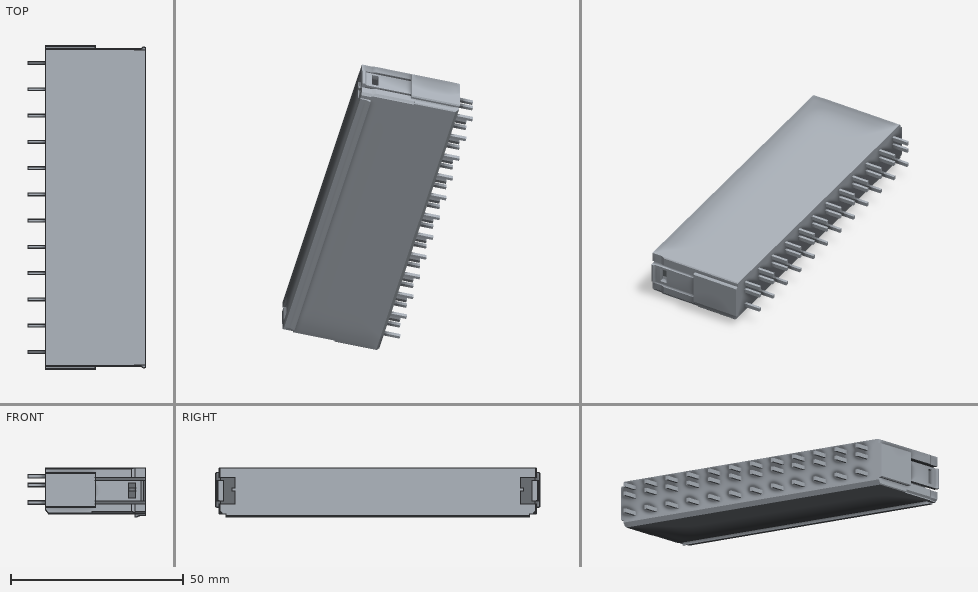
import cadquery as cq

overall_length = 94.2
overall_height = 14.3
body_depth = 29.1
body_height = 13.5
body_half = 46.2
edge_chamfer = 0.3

front_bevel_depth = 1.0
front_bevel_height = 1.3

pin_count = 12
pin_pitch = 7.6
pin_length = 5.1
pin_width = 0.85
pin_height = 1.1
pin_levels = (-2.45, -5.0, -10.1)

pad_depth = 14.5
pad_top = -1.3
pad_bottom = -11.5
pad_bevel_height = 0.3
pad_bevel_width = 0.4

step_start = 25.0
step_end = 26.0
step_depth = 0.4

rebate_start = 13.5
rebate_height = 0.85
rebate_bevel = 0.6

pocket_top = -2.8
pocket_bottom = -10.5
pocket_length_under_pad = 0.5
pocket_reach = 4.7
arm_gap = 0.85
arm_thickness = 1.4
hook_start = 27.8
hook_crest_start = 28.5
hook_crest_end = 28.65
hook_height = 0.5
hook_heel_height = 0.3

window_start = 24.2
window_end = 26.2
window_top = -4.4
window_bottom = -8.8
rib_top = -5.8
rib_bottom = -6.7
rib_height = 0.9

lip_half_length = 44.1
lip_tip = 26.4
lip_ramp_end = 27.5
lip_heel_height = 0.4
overlap = 0.5

pad_half = overall_length / 2
recessed_half = body_half - step_depth
arm_top = pocket_top - arm_gap
arm_bottom = pocket_bottom + arm_gap
arm_inner = body_half - arm_thickness
pocket_start = pad_depth - pocket_length_under_pad
pocket_floor = body_half - pocket_reach


def box(x0, x1, y0, y1, z0, z1):
    """Box between two opposite corners."""
    return cq.Workplane("XY").box(x1 - x0, y1 - y0, z1 - z0, centered=False).translate((x0, y0, z0))


def both_ends(solid):
    """The solid on the +Y end together with its mirror image on the -Y end."""
    return solid.union(solid.mirror("XZ"))


def make_body():
    profile = [
        (0, 0),
        (body_depth, 0),
        (body_depth, -body_height),
        (front_bevel_depth, -body_height),
        (0, -body_height + front_bevel_height),
    ]
    body = cq.Workplane("XZ").polyline(profile).close().extrude(body_half, both=True)
    return body.edges("|X and (>Y or <Y)").chamfer(edge_chamfer)


def make_pad():
    profile = [
        (body_half - overlap, pad_top),
        (pad_half - pad_bevel_width, pad_top),
        (pad_half, pad_top - pad_bevel_height),
        (pad_half, pad_bottom + pad_bevel_height),
        (pad_half - pad_bevel_width, pad_bottom),
        (body_half - overlap, pad_bottom),
    ]
    return cq.Workplane("YZ").polyline(profile).close().extrude(pad_depth)


def make_step_cut():
    profile = [
        (step_start, body_half),
        (step_end, recessed_half),
        (body_depth, recessed_half),
        (body_depth, body_half),
    ]
    return cq.Workplane("XY").polyline(profile).close().extrude(-body_height)


def make_rebate_cut(x_start, x_end, wall):
    """Rebate under the end wall that stands at Y = wall."""
    profile = [
        (pad_half, -body_height),
        (pad_half, -body_height + rebate_height),
        (wall, -body_height + rebate_height),
        (wall - rebate_bevel, -body_height + rebate_height - rebate_bevel),
        (wall - rebate_bevel, -body_height),
    ]
    rebate = cq.Workplane("YZ").polyline(profile).close().extrude(x_end - x_start)
    return rebate.translate((x_start, 0, 0))


def make_pocket_cut():
    pocket = box(pocket_start, body_depth, pocket_floor, body_half, pocket_bottom, pocket_top)
    rib = box(pocket_start, body_depth, pocket_floor, pocket_floor + rib_height, rib_bottom, rib_top)
    return pocket.cut(rib)


def make_latch_arm():
    profile = [
        (pocket_start - overlap, arm_inner),
        (pocket_start - overlap, body_half),
        (hook_start, body_half),
        (hook_crest_start, body_half + hook_height),
        (hook_crest_end, body_half + hook_height),
        (body_depth, body_half + hook_heel_height),
        (body_depth, arm_inner),
    ]
    arm = cq.Workplane("XY").polyline(profile).close().extrude(arm_top - arm_bottom)
    window = box(window_start, window_end, arm_inner, body_half, window_bottom, window_top)
    return arm.translate((0, 0, arm_bottom)).cut(window)


def make_lip():
    profile = [
        (step_end, -body_height + overlap),
        (step_end, -overall_height),
        (lip_tip, -overall_height),
        (lip_ramp_end, -body_height - lip_heel_height),
        (body_depth, -body_height - lip_heel_height),
        (body_depth, -body_height + overlap),
    ]
    return cq.Workplane("XZ").polyline(profile).close().extrude(lip_half_length, both=True)


def make_pins():
    first_pin = -pin_pitch * (pin_count - 1) / 2
    centres = [
        (first_pin + i * pin_pitch, level)
        for i in range(pin_count)
        for level in pin_levels
    ]
    pins = cq.Workplane("YZ").pushPoints(centres).rect(pin_width, pin_height)
    return pins.extrude(pin_length + overlap).translate((-pin_length, 0, 0))


end_cuts = [
    make_step_cut(),
    make_rebate_cut(rebate_start, step_end, body_half),
    make_rebate_cut(step_end, body_depth, recessed_half),
    make_pocket_cut(),
]
end_additions = [make_pad(), make_latch_arm()]

result = make_body()
for cutter in end_cuts:
    result = result.cut(both_ends(cutter))
for addition in end_additions:
    result = result.union(both_ends(addition))
result = result.union(make_lip()).union(make_pins())